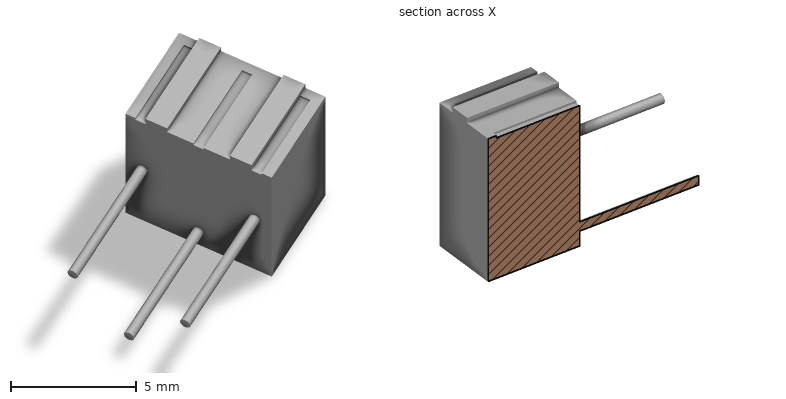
import cadquery as cq

total_length = 10.4
housing_width = 6.6
housing_depth = 4.5
total_height = 6.99

rail_height = 0.25
rail_width = 0.98
rail_offset = 1.9

groove_depth = 0.1
groove_width = 0.46
groove_end_wall = 0.43
rail_outer_edge = rail_offset + rail_width / 2
side_groove_offset = rail_outer_edge + groove_width / 2

pin_diameter = 0.46
pin_pitch = 2.54
upper_pin_height = 3.46
lower_pin_height = upper_pin_height - pin_pitch

dot_sphere_diameter = 0.5
dot_projection = 0.05
dot_x = -2.61
dot_z = 5.6

deck_height = total_height - rail_height
pin_length = total_length - housing_depth - dot_projection


def make_block(width, depth, height, x, y_front, z_bottom):
    """Box centred on x, reaching back from y_front and up from z_bottom."""
    block = cq.Workplane("XY").box(width, depth, height, centered=(True, False, False))
    return block.translate((x, y_front, z_bottom))


def make_pin(x, z):
    """Round terminal pin reaching forward from the front face."""
    pin_sketch = cq.Workplane("XZ", origin=(x, 0, z)).circle(pin_diameter / 2)
    return pin_sketch.extrude(pin_length)


def make_index_dot():
    """Small sphere whose cap stands proud of the back face."""
    centre_y = housing_depth + dot_projection - dot_sphere_diameter / 2
    return cq.Workplane("XY").sphere(dot_sphere_diameter / 2).translate((dot_x, centre_y, dot_z))


def make_housing():
    """Block with rails, grooves, terminal pins and index dot, all one solid."""
    housing = make_block(housing_width, housing_depth, deck_height, 0, 0, 0)

    groove_length = housing_depth - groove_end_wall
    groove_floor = deck_height - groove_depth
    for x in (-side_groove_offset, 0, side_groove_offset):
        housing = housing.cut(make_block(groove_width, groove_length, groove_depth, x, 0, groove_floor))

    for x in (-rail_offset, rail_offset):
        housing = housing.union(make_block(rail_width, housing_depth, rail_height, x, 0, deck_height))

    pin_places = [
        (-pin_pitch, upper_pin_height),
        (pin_pitch, upper_pin_height),
        (0, lower_pin_height),
    ]
    for x, z in pin_places:
        housing = housing.union(make_pin(x, z))

    return housing.union(make_index_dot())


housing = make_housing()

result = cq.Compound.makeCompound([housing.val()])